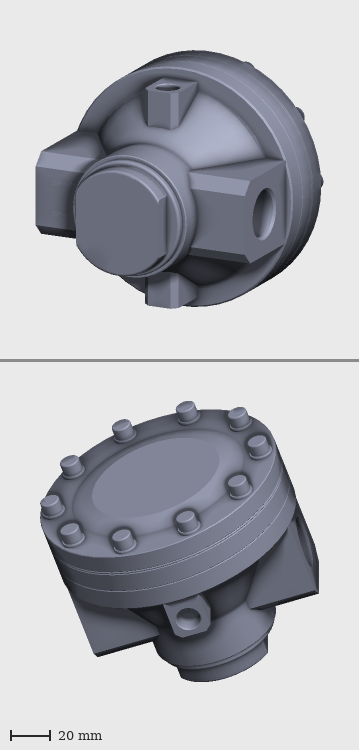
import cadquery as cq
import math


flange_radius = 62.5
lower_seam_y = 11.4
gasket_front_y = 21.9
gasket_back_y = 23.1
cover_y = 32.9
seam_chamfer = 0.4
flange_front_chamfer = 0.9

crown_y = 36.1
crown_top_radius = 33.8
crown_base_radius = 45.6

screw_count = 10
screw_circle_radius = 54.9
screw_head_radius = 5.0
screw_top_y = 40.8
screw_head_fillet = 0.8
washer_radius = 6.0
washer_top_radius = 5.8
washer_rim_y = 33.8
washer_top_y = 34.4

cone_base_radius = 51.5
cone_end_y = -34.6
neck_fillet = 2.5
root_fillet = 2.2
barrel_radius = 32.0
barrel_end_y = -58.2
barrel_chamfer = 0.5

plug_rim_radius = 30.0
plug_rim_end_y = -62.2
plug_rim_back_fillet = 0.6
plug_rim_front_fillet = 1.4
plug_radius = 27.5
plug_end_y = -71.9
plug_end_fillet = 1.2
plug_root_fillet = 0.6
plug_flat_width = 46.0

port_length = 117.2
port_width = 43.2
port_front_y = -46.0
port_chamfer = 6.2
port_hole_y = -23.9
port_hole_diameter = 24.1
port_hole_depth = 13.8
port_hole_chamfer = 1.2

lug_length = 112.8
lug_width = 18.8
lug_front_y = -24.5
lug_chamfer = 3.0
lug_hole_y = -15.0
lug_hole_diameter = 12.0
lug_hole_depth = 10.0
lug_hole_chamfer = 0.5

arrow_height = 0.2
arrow_spacing = 16.1
arrow_tail_x = -50.5
arrow_length = 15.9
arrow_half_width = 1.5
arrow_shaft_half_width = 0.44
arrow_notch_depth = 1.5
arrow_feather_length = 5.2
arrow_feather_taper = 0.9
arrow_head_length = 4.4

overlap = 1.2


def disc(radius, back_y, front_y, x=0.0, z=0.0):
    """Cylinder along Y from back_y down to front_y."""
    plane = cq.Workplane("XZ", origin=(x, back_y, z))
    return plane.circle(radius).extrude(back_y - front_y)


def revolved(points):
    """Solid of revolution about Y from (radius, y) points."""
    return cq.Workplane("XY").polyline(points).close().revolve(360, (0, 0, 0), (0, 1, 0))


def ring_at(y):
    """Selector for the circular edges centred on the main axis at position y."""
    margin = 0.1
    return cq.selectors.BoxSelector((-margin, y - margin, -margin), (margin, y + margin, margin))


def fillet_smallest_ring(solid, y, radius):
    """Solid with the smallest of its circular edges at position y rounded."""
    return solid.edges(ring_at(y)).edges(cq.selectors.RadiusNthSelector(0)).fillet(radius)


def flange():
    stack = disc(flange_radius, lower_seam_y, 0)
    stack = stack.faces("<Y").chamfer(flange_front_chamfer)
    stack = stack.faces(">Y").chamfer(seam_chamfer)
    seams = [lower_seam_y, gasket_front_y, gasket_back_y, cover_y]
    for front_y, back_y in zip(seams, seams[1:]):
        plate = disc(flange_radius, back_y, front_y)
        stack = stack.union(plate.faces("<Y or >Y").chamfer(seam_chamfer))
    crown = revolved([
        (0, cover_y - overlap),
        (crown_base_radius, cover_y - overlap),
        (crown_base_radius, cover_y),
        (crown_top_radius, crown_y),
        (0, crown_y),
    ])
    return stack.union(crown)


def screw(angle):
    x = screw_circle_radius * math.cos(angle)
    z = screw_circle_radius * math.sin(angle)
    head = disc(screw_head_radius, screw_top_y, cover_y - overlap, x, z)
    head = head.faces(">Y").edges().fillet(screw_head_fillet)
    rim_height = washer_top_y - washer_rim_y
    washer = disc(washer_radius, washer_top_y, cover_y - overlap, x, z)
    washer = washer.faces(">Y").chamfer(rim_height, washer_radius - washer_top_radius)
    return head.union(washer)


def housing():
    cone = revolved([
        (0, overlap),
        (cone_base_radius, overlap),
        (cone_base_radius, 0),
        (barrel_radius, cone_end_y),
        (barrel_radius, barrel_end_y),
        (0, barrel_end_y),
    ])
    cone = cone.edges(ring_at(cone_end_y)).fillet(neck_fillet)
    return cone.faces("<Y").chamfer(barrel_chamfer)


def plug():
    rim = disc(plug_rim_radius, barrel_end_y, plug_rim_end_y)
    rim = rim.faces(">Y").edges().fillet(plug_rim_back_fillet)
    rim = rim.faces("<Y").edges().fillet(plug_rim_front_fillet)
    head = disc(plug_radius, plug_rim_end_y + overlap, plug_end_y)
    head = head.faces("<Y").edges().fillet(plug_end_fillet)
    head_length = plug_rim_end_y - plug_end_y
    between_flats = cq.Workplane("XY").box(plug_flat_width, head_length, 2 * plug_radius)
    between_flats = between_flats.translate((0, plug_end_y + head_length / 2, 0))
    round_plug = fillet_smallest_ring(rim.union(head), plug_rim_end_y, plug_root_fillet)
    return rim.union(round_plug.intersect(between_flats))


def cross_bar(length, width, front_y, chamfer):
    """Bar along X, centred on the main axis, with its two long front edges chamfered."""
    depth = overlap - front_y
    bar = cq.Workplane("XY").box(length, depth, width)
    bar = bar.faces("<Y").edges("|X").chamfer(chamfer)
    return bar.translate((0, front_y + depth / 2, 0))


def bar_hole(bar_length, y, diameter, depth, chamfer):
    """Blind hole with a chamfered mouth, drilled into the +X end of a bar."""
    end_x = bar_length / 2
    radius = diameter / 2
    profile = [
        (end_x - depth, 0),
        (end_x - depth, radius),
        (end_x - chamfer, radius),
        (end_x, radius + chamfer),
        (end_x, 0),
    ]
    hole = cq.Workplane("XY").polyline(profile).close().revolve(360, (0, 0, 0), (1, 0, 0))
    return hole.translate((0, y, 0))


def turned(solid, angle):
    """The solid rotated about the main axis."""
    return solid.rotate((0, 0, 0), (0, 1, 0), angle)


def arrow(z):
    tip_x = arrow_tail_x + arrow_length
    feather_x = arrow_tail_x + arrow_feather_length
    shaft_x = feather_x + arrow_feather_taper
    head_x = tip_x - arrow_head_length
    upper = [
        (arrow_tail_x, arrow_half_width),
        (feather_x, arrow_half_width),
        (shaft_x, arrow_shaft_half_width),
        (head_x, arrow_shaft_half_width),
        (head_x, arrow_half_width),
    ]
    lower = [(x, -offset) for x, offset in reversed(upper)]
    outline = upper + [(tip_x, 0)] + lower + [(arrow_tail_x + arrow_notch_depth, 0)]
    plane = cq.Workplane("XZ", origin=(0, port_front_y + overlap, z))
    return plane.polyline(outline).close().extrude(overlap + arrow_height)


ports = cross_bar(port_length, port_width, port_front_y, port_chamfer)
lugs = turned(cross_bar(lug_length, lug_width, lug_front_y, lug_chamfer), 90)
body = flange().union(housing())
body = fillet_smallest_ring(body, 0, root_fillet)
result = body.union(ports).union(lugs).union(plug())

for index in range(screw_count):
    result = result.union(screw(2 * math.pi * index / screw_count))

for side in (-1, 1):
    result = result.union(arrow(side * arrow_spacing / 2))

port_hole = bar_hole(port_length, port_hole_y, port_hole_diameter, port_hole_depth, port_hole_chamfer)
lug_hole = bar_hole(lug_length, lug_hole_y, lug_hole_diameter, lug_hole_depth, lug_hole_chamfer)
for angle in (0, 180):
    result = result.cut(turned(port_hole, angle))
    result = result.cut(turned(lug_hole, angle + 90))